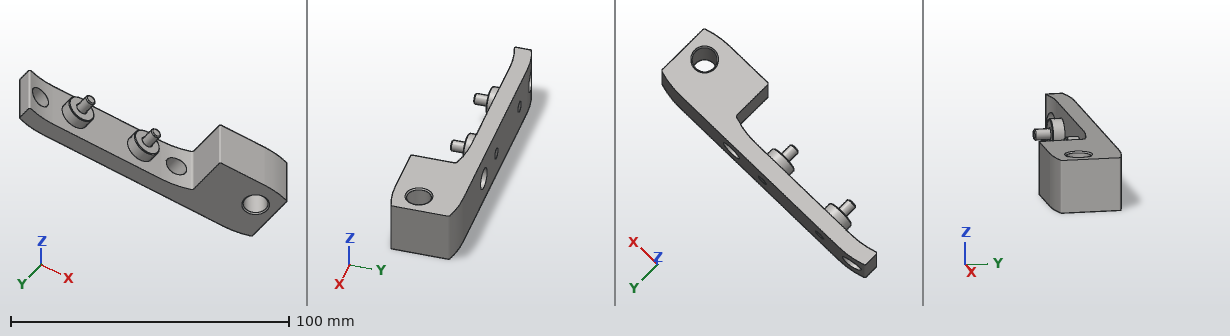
import cadquery as cq
import math

length = 102.8
depth = 25.5
height = 19.5
mid_height = height / 2

arm_thickness = 6.5
arm_front_y = depth - arm_thickness
block_left_x = 71.9
curve_radius = 35.0
left_curve_x = 11.5
inner_curve_x = 59.7
right_curve_x = 91.6
corner_radius = 0.6
inner_corner_radius = 1.0

mount_hole_diameter = 8.0
mount_hole_spacing = 60.0
cross_hole_diameter = 8.9
cross_hole_chamfer = 0.5
cross_hole_x = 94.6
cross_hole_y = 9.9

arm_center_x = (left_curve_x + inner_curve_x) / 2
pin_spacing = 28.9
spacer_diameter = 11.0
spacer_bore_diameter = 4.5
spacer_length = 4.5
spacer_chamfer = 0.3
pin_diameter = 4.0
pin_reach = 10.3
pin_chamfer = 0.4


def pair_positions(spacing):
    """X positions of two features, symmetric about the middle of the arm."""
    return [arm_center_x - spacing / 2, arm_center_x + spacing / 2]


def curve_drop(run):
    """Distance that a tangent curve leaves its straight line after a run in X."""
    return curve_radius - math.sqrt(curve_radius**2 - run**2)


def y_cylinder(diameter, x, start_y, end_y):
    """Cylinder along Y at mid height, from start_y toward -Y to end_y."""
    plane = cq.Plane(origin=(x, start_y, mid_height), xDir=(1, 0, 0), normal=(0, -1, 0))
    return cq.Workplane(plane).circle(diameter / 2).extrude(start_y - end_y)


def make_handle_blank():
    left_drop = curve_drop(left_curve_x)
    inner_drop = curve_drop(block_left_x - inner_curve_x)
    right_drop = curve_drop(length - right_curve_x)
    blank = (
        cq.Workplane("XY")
        .moveTo(left_curve_x, depth)
        .lineTo(right_curve_x, depth)
        .radiusArc((length, depth - right_drop), curve_radius)
        .lineTo(length, right_drop)
        .radiusArc((right_curve_x, 0), curve_radius)
        .lineTo(block_left_x, 0)
        .lineTo(block_left_x, arm_front_y - inner_drop)
        .radiusArc((inner_curve_x, arm_front_y), -curve_radius)
        .lineTo(left_curve_x, arm_front_y)
        .radiusArc((0, arm_front_y - left_drop), -curve_radius)
        .lineTo(0, depth - left_drop)
        .radiusArc((left_curve_x, depth), curve_radius)
        .close()
        .extrude(height)
    )
    inner_corner = cq.selectors.NearestToPointSelector((block_left_x, arm_front_y - inner_drop, mid_height))
    block_corner = cq.selectors.NearestToPointSelector((block_left_x, 0, mid_height))
    blank = blank.edges(inner_corner).fillet(inner_corner_radius)
    blank = blank.edges(block_corner).fillet(corner_radius)
    blank = blank.faces("<X").edges("|Z").fillet(corner_radius)
    return blank.faces(">X").edges("|Z").fillet(corner_radius)


def make_cross_hole():
    """Vertical hole through the block, chamfered at both rims."""
    hole = cq.Workplane("XY").center(cross_hole_x, cross_hole_y).circle(cross_hole_diameter / 2).extrude(height)
    rim_radius = cross_hole_diameter / 2 + cross_hole_chamfer
    rim = cq.Solid.makeCone(rim_radius, rim_radius - cross_hole_chamfer, cross_hole_chamfer)
    bottom_rim = rim.translate(cq.Vector(cross_hole_x, cross_hole_y, 0))
    top_rim = bottom_rim.mirror("XY", (0, 0, mid_height))
    return hole.union(cq.Workplane(bottom_rim)).union(cq.Workplane(top_rim))


def make_handle():
    handle = make_handle_blank().cut(make_cross_hole())
    for x in pair_positions(mount_hole_spacing):
        handle = handle.cut(y_cylinder(mount_hole_diameter, x, depth, 0))
    for x in pair_positions(pin_spacing):
        handle = handle.cut(y_cylinder(pin_diameter, x, depth, arm_front_y))
    return handle


def make_spacer(x):
    """Ring seated on the arm's front face, with a clearance bore around the pin."""
    end_y = arm_front_y - spacer_length
    ring = y_cylinder(spacer_diameter, x, arm_front_y, end_y).faces("<Y").chamfer(spacer_chamfer)
    return ring.cut(y_cylinder(spacer_bore_diameter, x, arm_front_y, end_y))


def make_pin(x):
    """Pin fixed in the arm, running through the spacer to a chamfered tip."""
    tip_y = arm_front_y - pin_reach
    return y_cylinder(pin_diameter, x, depth, tip_y).faces("<Y").chamfer(pin_chamfer)


handle = make_handle()
spacers = [make_spacer(x).val() for x in pair_positions(pin_spacing)]
pins = [make_pin(x).val() for x in pair_positions(pin_spacing)]

result = cq.Compound.makeCompound([handle.val(), *spacers, *pins])